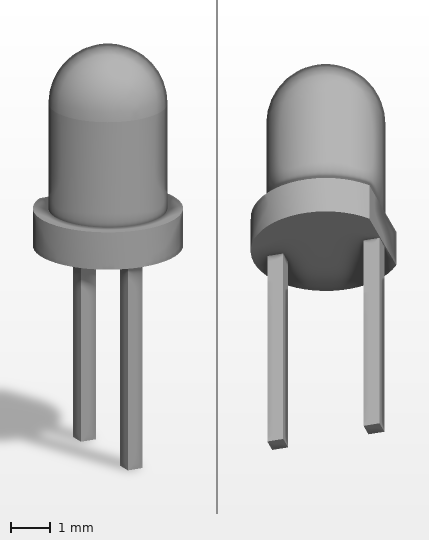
import cadquery as cq

total_height = 10.8
lens_diameter = 3.0
flange_diameter = 3.79
flange_height = 0.99
lead_width = 0.42
lead_pitch = 2.54
lead_exposed_length = 5.51
lead_embedment = 0.53

lens_radius = lens_diameter / 2
flange_radius = flange_diameter / 2
flange_bottom = lead_exposed_length
flange_top = flange_bottom + flange_height
dome_base = total_height - lens_radius
barrel_height = dome_base - flange_top
lead_length = flange_top + lead_embedment
lead_positions = [-lead_pitch / 2, lead_pitch / 2]


def make_lead(x):
    """Straight square lead rising from Z = 0 into the barrel."""
    return cq.Workplane("XY").center(x, 0).rect(lead_width, lead_width).extrude(lead_length)


def make_flange():
    """Round rim with a flat on -X, tangent to the barrel."""
    disc = cq.Workplane("XY").workplane(offset=flange_bottom).circle(flange_radius).extrude(flange_height)
    keep_length = lens_radius + flange_radius
    keep_box = (
        cq.Workplane("XY")
        .box(keep_length, flange_diameter, flange_height, centered=(False, True, False))
        .translate((-lens_radius, 0, flange_bottom))
    )
    return disc.intersect(keep_box)


def make_barrel():
    """Cylindrical part of the lens standing on the flange."""
    return cq.Workplane("XY").workplane(offset=flange_top).circle(lens_radius).extrude(barrel_height)


def make_dome():
    """Hemispherical tip on top of the barrel."""
    return (
        cq.Workplane("XZ")
        .moveTo(0, dome_base)
        .lineTo(lens_radius, dome_base)
        .radiusArc((0, total_height), -lens_radius)
        .close()
        .revolve(360, (0, 0, 0), (0, 1, 0))
    )


def make_lens():
    """One-piece lens of flange, barrel and dome, with a blind socket for each lead."""
    lens = make_flange().union(make_barrel()).union(make_dome())
    for x in lead_positions:
        lens = lens.cut(make_lead(x))
    return lens.solids()


lens = make_lens()
leads = [make_lead(x) for x in lead_positions]

result = cq.Compound.makeCompound([lens.val(), *[lead.val() for lead in leads]])